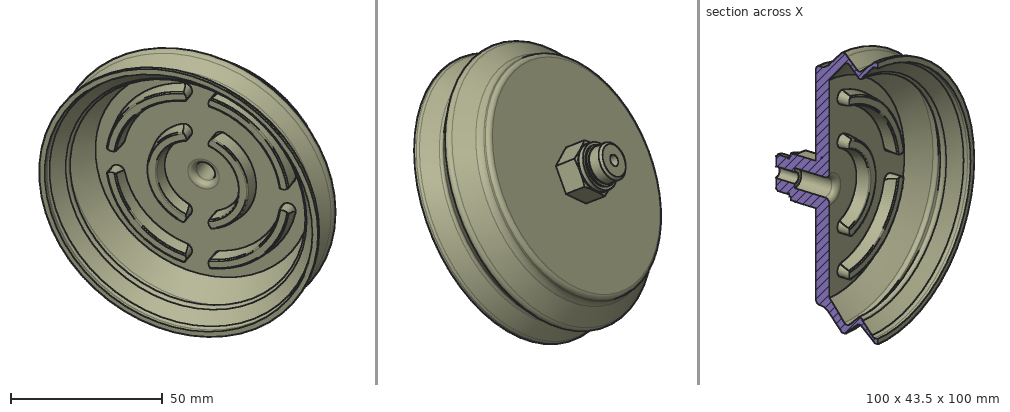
import cadquery as cq
import math


RIM_RADIUS = 50.0
RIM_BAND = 0.95
RIM_ROUND_END = (49.5, 1.87)
VALLEY_START = (45.4, 7.0)
VALLEY_BOTTOM = (45.0, 7.9)
VALLEY_END = (45.4, 8.8)
RIDGE_START = (49.0, 13.0)
RIDGE_PEAK = (49.9, 14.5)
RIDGE_END = (49.1, 16.0)
NECK_START = (43.5, 21.5)
NECK_MIDDLE = (42.8, 22.7)
BACK_RADIUS = 42.5
NECK_END_Y = 24.2
BACK_ROUND = 1.65
BACK_Y = 26.5

MOUTH_RADIUS = 48.0
MOUTH_BAND = 1.4
MOUTH_ROUND_MIDDLE = (47.8, 2.0)
MOUTH_CONE_START = (47.3, 2.4)
FOLD_START = (43.2, 6.4)
FOLD_TIP = (42.25, 7.6)
FOLD_END = (42.8, 8.6)
POCKET_START = (45.8, 11.9)
POCKET_DEEPEST = (46.4, 13.1)
POCKET_END = (45.8, 14.3)
FLOOR_RADIUS = 38.7
FLOOR_Y = 20.5

RIB_HEIGHT = 5.0
RIB_BASE_WIDTH = 5.1
RIB_TOP_WIDTH = 3.3
RIB_TOP_ROUND = 0.5
RIB_END_GAP = 4.0
INNER_RIB_RADIUS = 16.4
OUTER_RIB_RADIUS = 31.3

BORE_DIAMETER = 4.0
MOUTH_BORE_DIAMETER = 7.0
MOUTH_BORE_ROUND = 2.1

HEX_ACROSS_FLATS = 17.0
HEX_LENGTH = 8.65
HEX_CHAMFER = 0.4
SHOULDER_DIAMETER = HEX_ACROSS_FLATS
SHOULDER_END = 8.9
SEAL_DIAMETER = 16.8
SEAL_END = 10.7
SEAL_EDGE_DIAMETER = 16.6
SEAL_BEVEL = 0.35
COLLAR_DIAMETER = 14.4
COLLAR_END = 11.3
UNDERCUT_DIAMETER = 12.4
THREAD_DIAMETER = 13.16
THREAD_START = 11.8
THREAD_START_BEVEL = 0.2
THREAD_CHAMFER = 0.9
SPIGOT_END = 17.0


def revolve_about_y(profile):
    """Turn a closed profile, drawn as radius against Y, about the Y axis."""
    return profile.close().revolve(360, (0, 0, 0), (0, 1, 0))


def cylinder(diameter, start_y, end_y):
    """Cylinder on the Y axis between two Y positions."""
    radius = diameter / 2
    return revolve_about_y(
        cq.Workplane("XY").moveTo(0, start_y).lineTo(radius, start_y)
        .lineTo(radius, end_y).lineTo(0, end_y)
    )


def make_cup():
    """Bellows cup with one outer ridge, one valley and a flat, solid back."""
    back_round_start = BACK_Y - BACK_ROUND
    return revolve_about_y(
        cq.Workplane("XY")
        .moveTo(MOUTH_RADIUS, 0)
        .lineTo(RIM_RADIUS, 0)
        .lineTo(RIM_RADIUS, RIM_BAND)
        .tangentArcPoint(RIM_ROUND_END, relative=False)
        .lineTo(*VALLEY_START)
        .threePointArc(VALLEY_BOTTOM, VALLEY_END)
        .lineTo(*RIDGE_START)
        .threePointArc(RIDGE_PEAK, RIDGE_END)
        .lineTo(*NECK_START)
        .threePointArc(NECK_MIDDLE, (BACK_RADIUS, NECK_END_Y))
        .lineTo(BACK_RADIUS, back_round_start)
        .tangentArcPoint((BACK_RADIUS - BACK_ROUND, BACK_Y), relative=False)
        .lineTo(0, BACK_Y)
        .lineTo(0, FLOOR_Y)
        .lineTo(FLOOR_RADIUS, FLOOR_Y)
        .lineTo(*POCKET_END)
        .threePointArc(POCKET_DEEPEST, POCKET_START)
        .lineTo(*FOLD_END)
        .threePointArc(FOLD_TIP, FOLD_START)
        .lineTo(*MOUTH_CONE_START)
        .threePointArc(MOUTH_ROUND_MIDDLE, (MOUTH_RADIUS, MOUTH_BAND))
    )


def make_rib_ring(ring_radius):
    """Full ring of tapered section, rounded along its top edges, standing on the cup floor."""
    base = RIB_BASE_WIDTH / 2
    top = RIB_TOP_WIDTH / 2
    top_y = FLOOR_Y - RIB_HEIGHT
    ring = revolve_about_y(
        cq.Workplane("XY")
        .moveTo(ring_radius - base, FLOOR_Y)
        .lineTo(ring_radius - top, top_y)
        .lineTo(ring_radius + top, top_y)
        .lineTo(ring_radius + base, FLOOR_Y)
    )
    return ring.faces("<Y").edges().fillet(RIB_TOP_ROUND)


def make_rib_outline(ring_radius, start_angle, end_angle):
    """Round-ended curved bar, as wide as the rib base, running between two angles."""
    half_width = RIB_BASE_WIDTH / 2

    def polar(radius, angle):
        """X and Z of a point on a circle about the Y axis."""
        return radius * math.cos(angle), radius * math.sin(angle)

    def beyond(angle, direction):
        """Tip of the round end, half a width past the given angle."""
        x, z = polar(ring_radius, angle)
        tip_x = x - direction * half_width * math.sin(angle)
        tip_z = z + direction * half_width * math.cos(angle)
        return tip_x, tip_z

    outer = ring_radius + half_width
    inner = ring_radius - half_width
    middle = (start_angle + end_angle) / 2
    return (
        cq.Workplane("XZ", origin=(0, FLOOR_Y, 0))
        .moveTo(*polar(outer, start_angle))
        .threePointArc(polar(outer, middle), polar(outer, end_angle))
        .threePointArc(beyond(end_angle, 1), polar(inner, end_angle))
        .threePointArc(polar(inner, middle), polar(inner, start_angle))
        .threePointArc(beyond(start_angle, -1), polar(outer, start_angle))
        .close()
        .extrude(RIB_HEIGHT)
    )


def make_ribs():
    end_centre = RIB_END_GAP + RIB_BASE_WIDTH / 2
    outer_margin = math.asin(end_centre / OUTER_RIB_RADIUS)
    inner_reach = math.acos(end_centre / INNER_RIB_RADIUS)
    quarter = math.pi / 2

    outer_ring = make_rib_ring(OUTER_RIB_RADIUS)
    inner_ring = make_rib_ring(INNER_RIB_RADIUS)
    ribs = []
    for index in range(4):
        start = index * quarter + outer_margin
        end = (index + 1) * quarter - outer_margin
        ribs.append(outer_ring.intersect(make_rib_outline(OUTER_RIB_RADIUS, start, end)))
    for side in (0, math.pi):
        outline = make_rib_outline(INNER_RIB_RADIUS, side - inner_reach, side + inner_reach)
        ribs.append(inner_ring.intersect(outline))
    return ribs


def make_hexagon():
    """Hexagon with corners on the X axis and a turned bevel on its free end."""
    corner_radius = HEX_ACROSS_FLATS / math.sqrt(3)
    end_y = BACK_Y + HEX_LENGTH
    prism = (
        cq.Workplane("XZ", origin=(0, BACK_Y, 0))
        .polygon(6, 2 * corner_radius)
        .extrude(-HEX_LENGTH)
    )
    envelope = revolve_about_y(
        cq.Workplane("XY")
        .moveTo(0, BACK_Y)
        .lineTo(corner_radius, BACK_Y)
        .lineTo(corner_radius, end_y - HEX_CHAMFER)
        .lineTo(HEX_ACROSS_FLATS / 2, end_y)
        .lineTo(0, end_y)
    )
    return prism.intersect(envelope)


def make_spigot():
    """Shoulder, seal ring, collar, undercut and thread beyond the hexagon."""
    thread_radius = THREAD_DIAMETER / 2
    shoulder_end_y = BACK_Y + SHOULDER_END
    seal_end_y = BACK_Y + SEAL_END
    collar_end_y = BACK_Y + COLLAR_END
    thread_start_y = BACK_Y + THREAD_START
    end_y = BACK_Y + SPIGOT_END
    return revolve_about_y(
        cq.Workplane("XY")
        .moveTo(0, BACK_Y)
        .lineTo(SHOULDER_DIAMETER / 2, BACK_Y)
        .lineTo(SHOULDER_DIAMETER / 2, shoulder_end_y)
        .lineTo(SEAL_DIAMETER / 2, shoulder_end_y)
        .lineTo(SEAL_DIAMETER / 2, seal_end_y - SEAL_BEVEL)
        .lineTo(SEAL_EDGE_DIAMETER / 2, seal_end_y)
        .lineTo(COLLAR_DIAMETER / 2, seal_end_y)
        .lineTo(COLLAR_DIAMETER / 2, collar_end_y)
        .lineTo(UNDERCUT_DIAMETER / 2, collar_end_y)
        .lineTo(UNDERCUT_DIAMETER / 2, thread_start_y - THREAD_START_BEVEL)
        .lineTo(thread_radius, thread_start_y)
        .lineTo(thread_radius, end_y - THREAD_CHAMFER)
        .lineTo(thread_radius - THREAD_CHAMFER, end_y)
        .lineTo(0, end_y)
    )


def make_mouth_bore():
    """Wide bore, reaching to the end of the shoulder, whose mouth flares out with a convex round."""
    radius = MOUTH_BORE_DIAMETER / 2
    bottom_y = BACK_Y + SHOULDER_END
    inset = MOUTH_BORE_ROUND * (1 - math.sqrt(0.5))
    return revolve_about_y(
        cq.Workplane("XY")
        .moveTo(0, FLOOR_Y)
        .lineTo(radius + MOUTH_BORE_ROUND, FLOOR_Y)
        .threePointArc((radius + inset, FLOOR_Y + inset), (radius, FLOOR_Y + MOUTH_BORE_ROUND))
        .lineTo(radius, bottom_y)
        .lineTo(0, bottom_y)
    )


body = make_cup().union(make_hexagon()).union(make_spigot())
for rib in make_ribs():
    body = body.union(rib)
result = body.cut(make_mouth_bore()).cut(cylinder(BORE_DIAMETER, FLOOR_Y, BACK_Y + SPIGOT_END))